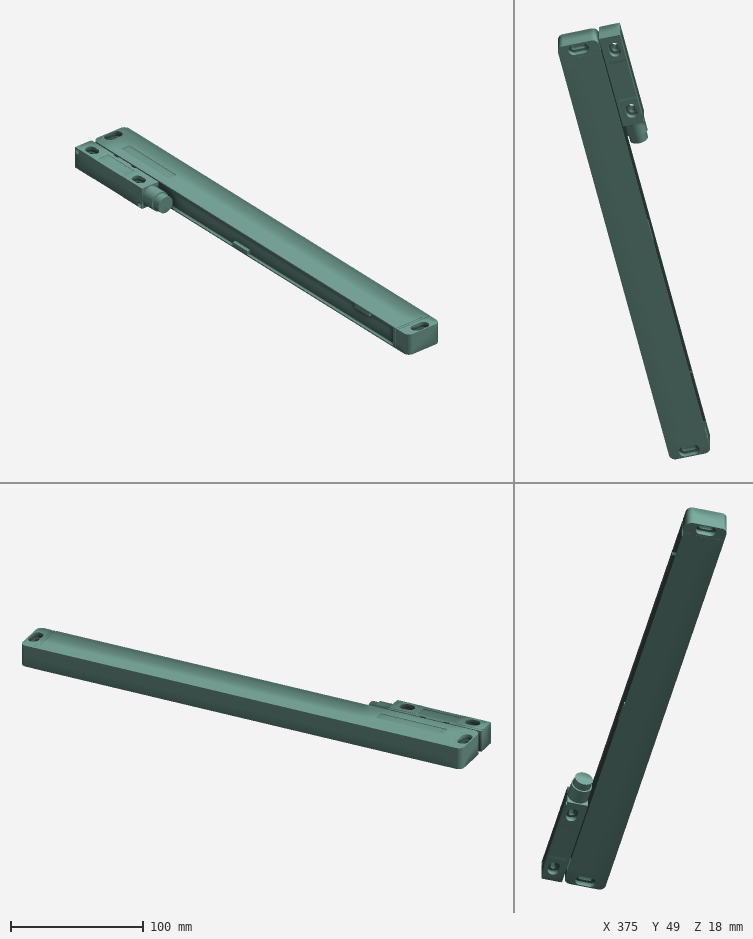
import cadquery as cq

LENGTH = 375.0
WIDTH = 49.0
HEIGHT = 18.0
MID_Z = HEIGHT / 2

SLOT_WIDTH = 4.5
COUNTERBORE_WIDTH = 8.5
COUNTERBORE_DEPTH = 4.5

SCALE_WIDTH = 32.0
SCALE_FRONT = WIDTH - SCALE_WIDTH
SCALE_MID_Y = WIDTH - SCALE_WIDTH / 2
LEFT_CAP_LENGTH = 11.5
RIGHT_CAP_LENGTH = 11.2
CAP_STEP = 0.08
CAP_CORNER_RADIUS = 5.0
CAP_SLOT_STRAIGHT = 7.0
CAP_SLOT_INSET = 5.2

RECESS_END = 357.0
RECESS_DEPTH = 3.0
LIP_HEIGHT = 1.0
LIP_UNDERCUT = 0.5
UNDERCUT_START = 1.5
TAB_LENGTH = 17.2
TAB_HEIGHT = 4.5
LOWER_TAB_X = 166.5
UPPER_TAB_X = 311.2

GROOVE_WIDTH = 1.0
GROOVE_DEPTH = 0.5
CAP_GROOVE_X = LENGTH - RIGHT_CAP_LENGTH - GROOVE_WIDTH
SEAL_GROOVE_X = 360.5
SEAL_GROOVE_BACK = 42.8

LABEL_DEPTH = 0.5
SCALE_LABEL_X = 24.5
SCALE_LABEL_Y = 25.0
SCALE_LABEL_LENGTH = 56.2
SCALE_LABEL_WIDTH = 8.0

HEAD_GAP = 1.0
HEAD_LENGTH = 79.5
HEAD_WIDTH = SCALE_FRONT - HEAD_GAP
PAD_RISE = 0.2
PAD_LENGTH = 21.8
PAD_RAMP = 2.2
PAD_WIDTH = 14.0
HEAD_SLOT_STRAIGHT = 3.5
HEAD_SLOT_Y = 6.8
HEAD_SLOT_XS = (12.0, 67.5)
HEAD_LABEL_Y = 3.5
HEAD_LABEL_WIDTH = 9.0

NOTCH_XS = (27.5, 47.5)
NOTCH_LENGTH = 5.0
NOTCH_DEPTH = 1.0
NOTCH_HEIGHT = 3.8

CORNER_HOLE_DIAMETER = 4.5
CORNER_HOLE_INSET = 2.5
CORNER_HOLE_DEPTH = 9.0
CORNER_CORE_DIAMETER = 2.2
CORNER_CORE_DEPTH = 9.8

GLAND_DIAMETER = 16.0
GLAND_LENGTH = 12.0
CABLE_DIAMETER = 14.0
CABLE_LENGTH = 6.5


def box(x, y, z, length, width, height):
    """Box whose lowest corner is at (x, y, z)."""
    return cq.Workplane("XY").box(length, width, height, centered=False).translate((x, y, z))


def counterbored_slot(x, y, straight, angle):
    """Cutter for a through slot that is counterbored from the top and the bottom."""

    def slot(width, bottom, height):
        profile = cq.Workplane("XY", origin=(x, y, bottom)).slot2D(straight + width, width, angle)
        return profile.extrude(height)

    cutter = slot(SLOT_WIDTH, 0, HEIGHT)
    for bottom in (0, HEIGHT - COUNTERBORE_DEPTH):
        cutter = cutter.union(slot(COUNTERBORE_WIDTH, bottom, COUNTERBORE_DEPTH))
    return cutter


def make_cap(x, length, outer_side):
    """End cap starting at x, rounded on its outer vertical edges and slightly thinner than the bar."""
    cap = box(x, SCALE_FRONT, CAP_STEP, length, SCALE_WIDTH, HEIGHT - 2 * CAP_STEP)
    return cap.faces(outer_side).edges("|Z").fillet(CAP_CORNER_RADIUS)


def make_front_recess():
    """Cutter for the front recess: undercut behind the lips, leaving a bottom tab and a top tab."""
    recess_length = RECESS_END - LEFT_CAP_LENGTH

    def channel(inset, lip):
        y = SCALE_FRONT + inset
        return box(LEFT_CAP_LENGTH, y, lip, recess_length, RECESS_DEPTH - inset, HEIGHT - 2 * lip)

    recess = channel(0, LIP_HEIGHT).union(channel(UNDERCUT_START, LIP_HEIGHT - LIP_UNDERCUT))
    lower_tab = box(LOWER_TAB_X, SCALE_FRONT, 0, TAB_LENGTH, RECESS_DEPTH, TAB_HEIGHT)
    upper_tab = box(UPPER_TAB_X, SCALE_FRONT, HEIGHT - TAB_HEIGHT, TAB_LENGTH, RECESS_DEPTH, TAB_HEIGHT)
    return recess.cut(lower_tab).cut(upper_tab)


def make_scale():
    bar_length = LENGTH - LEFT_CAP_LENGTH - RIGHT_CAP_LENGTH
    scale = box(LEFT_CAP_LENGTH, SCALE_FRONT, 0, bar_length, SCALE_WIDTH, HEIGHT)
    scale = scale.union(make_cap(0, LEFT_CAP_LENGTH, "<X"))
    scale = scale.union(make_cap(LENGTH - RIGHT_CAP_LENGTH, RIGHT_CAP_LENGTH, ">X"))
    scale = scale.cut(make_front_recess())

    for x in (CAP_SLOT_INSET, LENGTH - CAP_SLOT_INSET):
        scale = scale.cut(counterbored_slot(x, SCALE_MID_Y, CAP_SLOT_STRAIGHT, 90))

    groove_z = HEIGHT - GROOVE_DEPTH
    seal_run = SEAL_GROOVE_BACK - SCALE_FRONT
    scale = scale.cut(box(CAP_GROOVE_X, SCALE_FRONT, groove_z, GROOVE_WIDTH, SCALE_WIDTH, GROOVE_DEPTH))
    scale = scale.cut(box(SEAL_GROOVE_X, SCALE_FRONT, groove_z, GROOVE_WIDTH, seal_run, GROOVE_DEPTH))
    scale = scale.cut(box(SEAL_GROOVE_X, SCALE_FRONT, 0, GROOVE_WIDTH, GROOVE_DEPTH, HEIGHT))

    label_z = HEIGHT - LABEL_DEPTH
    label = box(SCALE_LABEL_X, SCALE_LABEL_Y, label_z, SCALE_LABEL_LENGTH, SCALE_LABEL_WIDTH, LABEL_DEPTH)
    return scale.cut(label)


def make_head_block():
    """Block with a raised pad at each end, ramped towards the middle, on the top and the bottom."""
    block = box(0, 0, PAD_RISE, HEAD_LENGTH, HEAD_WIDTH, HEIGHT - 2 * PAD_RISE)
    for end, inward in ((0, 1), (HEAD_LENGTH, -1)):
        pad_edge = end + inward * PAD_LENGTH
        ramp_foot = pad_edge + inward * PAD_RAMP
        outline = [
            (end, 0),
            (pad_edge, 0),
            (ramp_foot, PAD_RISE),
            (ramp_foot, HEIGHT - PAD_RISE),
            (pad_edge, HEIGHT),
            (end, HEIGHT),
        ]
        block = block.union(cq.Workplane("XZ").polyline(outline).close().extrude(-PAD_WIDTH))
    return block


def make_cylinder(x, diameter, length):
    """Cylinder along X on the axis of the cable gland."""
    end_plane = cq.Workplane("YZ", origin=(x, HEAD_WIDTH / 2, MID_Z))
    return end_plane.circle(diameter / 2).extrude(length)


def make_corner_hole(x, z):
    """Cutter for a stepped hole going back from the front face of the head."""
    front = cq.Workplane("XZ", origin=(x, 0, z))
    hole = front.circle(CORNER_HOLE_DIAMETER / 2).extrude(-CORNER_HOLE_DEPTH)
    core = front.circle(CORNER_CORE_DIAMETER / 2).extrude(-CORNER_CORE_DEPTH)
    return hole.union(core)


def make_head():
    head = make_head_block()
    gland_end = HEAD_LENGTH + GLAND_LENGTH
    head = head.union(make_cylinder(HEAD_LENGTH, GLAND_DIAMETER, GLAND_LENGTH))
    head = head.union(make_cylinder(gland_end, CABLE_DIAMETER, CABLE_LENGTH))

    for x in HEAD_SLOT_XS:
        head = head.cut(counterbored_slot(x, HEAD_SLOT_Y, HEAD_SLOT_STRAIGHT, 0))

    top = HEIGHT - PAD_RISE
    label_x = PAD_LENGTH + PAD_RAMP
    label_length = HEAD_LENGTH - 2 * label_x
    label = box(label_x, HEAD_LABEL_Y, top - LABEL_DEPTH, label_length, HEAD_LABEL_WIDTH, LABEL_DEPTH)
    head = head.cut(label)

    for x in NOTCH_XS:
        notch_y = HEAD_WIDTH - NOTCH_DEPTH
        head = head.cut(box(x, notch_y, top - NOTCH_HEIGHT, NOTCH_LENGTH, NOTCH_DEPTH, NOTCH_HEIGHT))

    head = head.cut(make_corner_hole(CORNER_HOLE_INSET, HEIGHT - CORNER_HOLE_INSET))
    return head.cut(make_corner_hole(HEAD_LENGTH - CORNER_HOLE_INSET, CORNER_HOLE_INSET))


scale = make_scale()
reading_head = make_head()

result = cq.Compound.makeCompound([scale.val(), reading_head.val()])